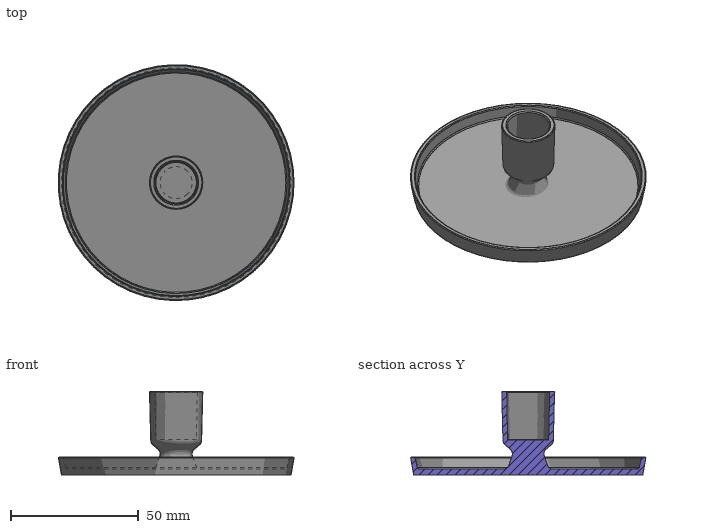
import cadquery as cq

rim_radius = 46.2
base_radius = 45.0
tray_height = 7.0
rim_chamfer = 0.4
rim_inner_radius = 44.2
floor_edge_radius = 43.4
floor_thickness = 2.4
floor_corner = 0.5

foot_radius = 9.8
foot_cone_radius = 7.7
foot_mid_radius = 8.5
foot_mid_height = 0.39
foot_height = 1.4
neck_radius = 6.3
neck_bottom = 7.85
neck_mid_radius = 6.4
neck_mid_z = 9.0

shoulder_lower_radius = 6.8
shoulder_lower_z = 9.9
shoulder_upper_radius = 9.3
shoulder_upper_z = 12.0
shoulder_round_radius = 9.8
shoulder_round_z = 12.7
cup_bottom_radius = 10.0
cup_bottom_z = 13.7
cup_top_radius = 10.4
total_height = 32.8
lip_chamfer = 0.4
socket_mouth_radius = 8.8
socket_top_radius = 8.3
socket_floor_radius = 7.9
socket_lead_in = 0.5
socket_floor_z = 13.85


def revolve_about_z(profile):
    """Turn a closed radius-height profile into a solid about the Z axis."""
    return profile.close().revolve(360, (0, 0, 0), (0, 1, 0))


def make_tray():
    profile = (
        cq.Workplane("XZ")
        .lineTo(base_radius, 0)
        .lineTo(rim_radius, tray_height - rim_chamfer)
        .lineTo(rim_radius - rim_chamfer, tray_height)
        .lineTo(rim_inner_radius + rim_chamfer, tray_height)
        .lineTo(rim_inner_radius, tray_height - rim_chamfer)
        .lineTo(floor_edge_radius, floor_thickness + floor_corner)
        .lineTo(floor_edge_radius - floor_corner, floor_thickness)
        .lineTo(0, floor_thickness)
    )
    return revolve_about_z(profile)


def make_holder():
    profile = (
        cq.Workplane("XZ")
        .lineTo(foot_radius, 0)
        .lineTo(foot_radius, floor_thickness)
        .threePointArc(
            (foot_mid_radius, floor_thickness + foot_mid_height),
            (foot_cone_radius, floor_thickness + foot_height),
        )
        .lineTo(neck_radius, neck_bottom)
        .threePointArc((neck_mid_radius, neck_mid_z), (shoulder_lower_radius, shoulder_lower_z))
        .lineTo(shoulder_upper_radius, shoulder_upper_z)
        .threePointArc((shoulder_round_radius, shoulder_round_z), (cup_bottom_radius, cup_bottom_z))
        .lineTo(cup_top_radius, total_height - lip_chamfer)
        .lineTo(cup_top_radius - lip_chamfer, total_height)
        .lineTo(socket_mouth_radius, total_height)
        .lineTo(socket_top_radius, total_height - socket_lead_in)
        .lineTo(socket_floor_radius, socket_floor_z)
        .lineTo(0, socket_floor_z)
    )
    return revolve_about_z(profile)


result = make_tray().union(make_holder())